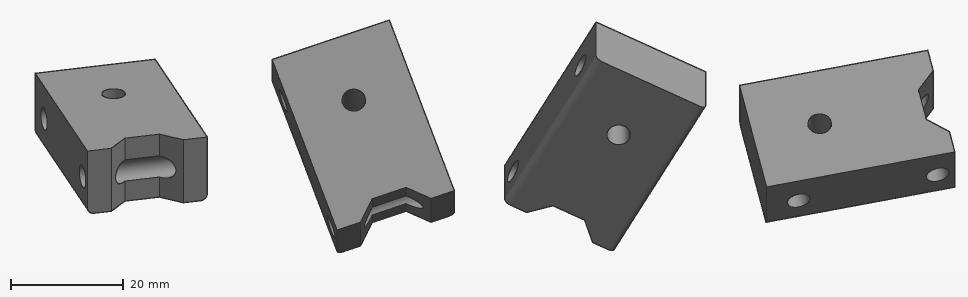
import cadquery as cq

length = 34.4
width = 22.2
height = 12.38
bottom_edge_radius = 1.27

hole_diameter = 4.15
cross_hole_x = 5.85
cross_hole_spacing = 25.38
cross_hole_z = 6.02
vertical_hole_x = 12.17

notch_depth = 3.47
notch_mouth = 13.35
notch_floor = notch_mouth - 2 * notch_depth


def make_block():
    """Block with its two long bottom edges rounded."""
    block = cq.Workplane("XY").box(length, width, height, centered=False)
    return block.edges("|X and <Z").fillet(bottom_edge_radius)


def make_notch():
    """Trapezoidal cutter through the full height of the block."""
    middle = width / 2
    floor_x = length - notch_depth
    outline = [
        (length, middle - notch_mouth / 2),
        (floor_x, middle - notch_floor / 2),
        (floor_x, middle + notch_floor / 2),
        (length, middle + notch_mouth / 2),
    ]
    return cq.Workplane("XY").polyline(outline).close().extrude(height)


def make_cross_hole(x):
    """Cutter for a hole through the full width, parallel to Y."""
    return cq.Workplane("XZ").center(x, cross_hole_z).circle(hole_diameter / 2).extrude(-width)


def make_vertical_hole():
    """Cutter for the hole through the full height, parallel to Z."""
    center = cq.Workplane("XY").center(vertical_hole_x, width / 2)
    return center.circle(hole_diameter / 2).extrude(height)


result = make_block().cut(make_notch()).cut(make_vertical_hole())
for hole_x in (cross_hole_x, cross_hole_x + cross_hole_spacing):
    result = result.cut(make_cross_hole(hole_x))